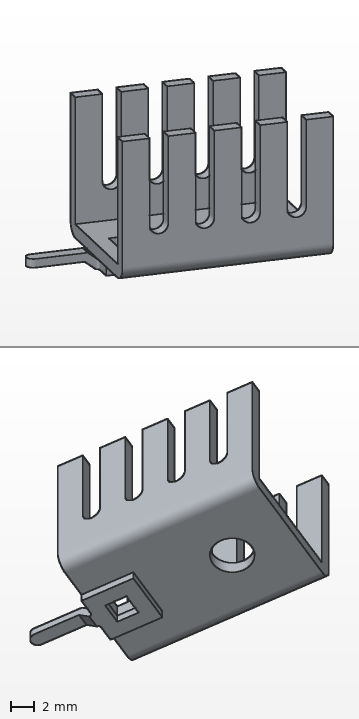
import cadquery as cq
import math

sink_width = 13.21
sink_length = 19.05
sink_height = 12.7
sheet = 1.24
bend_radius = sheet

fin_count = 5
fin_width = 2.46
fin_pitch = (sink_length - fin_width) / (fin_count - 1)
slot_width = fin_pitch - fin_width
slot_floor = 4.0

screw_hole_diameter = 3.8
screw_hole_from_rear = 5.715
square_hole = 2.08
square_hole_y = 2.54

tab_sheet = 0.8
plate_width = 5.0
plate_length = 2 * square_hole_y
pin_width = 1.3
pin_reach = 6.35
pin_step_run = 1.0
pin_step_rise = tab_sheet
root_fillet = 0.25
bend_shift = tab_sheet * math.tan(math.atan2(pin_step_rise, pin_step_run) / 2)


def make_square_cutter():
    """Square prism that passes through the base and the tab plate."""
    return (
        cq.Workplane("XY", origin=(0, square_hole_y, -tab_sheet))
        .rect(square_hole, square_hole)
        .extrude(tab_sheet + sheet)
    )


def make_slot_cutter(center_y):
    """Round-bottomed slot through both side walls, open at the top."""
    radius = slot_width / 2
    arc_center_z = slot_floor + radius
    return (
        cq.Workplane("YZ")
        .moveTo(center_y - radius, sink_height)
        .lineTo(center_y - radius, arc_center_z)
        .threePointArc((center_y, slot_floor), (center_y + radius, arc_center_z))
        .lineTo(center_y + radius, sink_height)
        .close()
        .extrude(sink_width / 2, both=True)
    )


def make_heat_sink():
    """Finned channel with rounded outer bends, a screw hole and a square hole."""
    channel = (
        cq.Workplane("XY")
        .box(sink_width, sink_length, sink_height, centered=(True, False, False))
        .edges("|Y and <Z")
        .fillet(bend_radius)
    )
    cavity = cq.Workplane("XY", origin=(0, 0, sheet)).box(
        sink_width - 2 * sheet, sink_length, sink_height - sheet, centered=(True, False, False)
    )
    channel = channel.cut(cavity)
    for index in range(fin_count - 1):
        slot_y = fin_width + slot_width / 2 + index * fin_pitch
        channel = channel.cut(make_slot_cutter(slot_y))
    screw_hole = (
        cq.Workplane("XY", origin=(0, sink_length - screw_hole_from_rear, 0))
        .circle(screw_hole_diameter / 2)
        .extrude(sheet)
    )
    return channel.cut(screw_hole).cut(make_square_cutter())


def make_side_profile():
    """Tab profile in the YZ plane: flat plate, sloped step and raised pin, as wide as the plate."""
    return (
        cq.Workplane("YZ")
        .moveTo(plate_length, 0)
        .lineTo(0, 0)
        .lineTo(-pin_step_run, pin_step_rise)
        .lineTo(-pin_reach, pin_step_rise)
        .lineTo(-pin_reach, pin_step_rise - tab_sheet)
        .lineTo(-pin_step_run - bend_shift, pin_step_rise - tab_sheet)
        .lineTo(-bend_shift, -tab_sheet)
        .lineTo(plate_length, -tab_sheet)
        .close()
        .extrude(plate_width / 2, both=True)
    )


def make_plan_outline():
    """Tab outline in the XY plane: plate, filleted pin root and full-round pin tip."""
    half_plate = plate_width / 2
    half_pin = pin_width / 2
    half_root = half_pin + root_fillet
    tip_center_y = half_pin - pin_reach
    fillet_mid_x = half_root - root_fillet * math.sqrt(0.5)
    fillet_mid_y = root_fillet * (math.sqrt(0.5) - 1)
    return (
        cq.Workplane("XY", origin=(0, 0, -tab_sheet))
        .moveTo(-half_plate, plate_length)
        .lineTo(-half_plate, 0)
        .lineTo(-half_root, 0)
        .threePointArc((-fillet_mid_x, fillet_mid_y), (-half_pin, -root_fillet))
        .lineTo(-half_pin, tip_center_y)
        .threePointArc((0, -pin_reach), (half_pin, tip_center_y))
        .lineTo(half_pin, -root_fillet)
        .threePointArc((fillet_mid_x, fillet_mid_y), (half_root, 0))
        .lineTo(half_plate, 0)
        .lineTo(half_plate, plate_length)
        .close()
        .extrude(tab_sheet + pin_step_rise)
    )


def make_solder_tab():
    """Tab plate with its stepped pin and the square hole."""
    return make_side_profile().intersect(make_plan_outline()).cut(make_square_cutter())


heat_sink = make_heat_sink()
solder_tab = make_solder_tab()

result = cq.Compound.makeCompound([heat_sink.val(), solder_tab.val()])